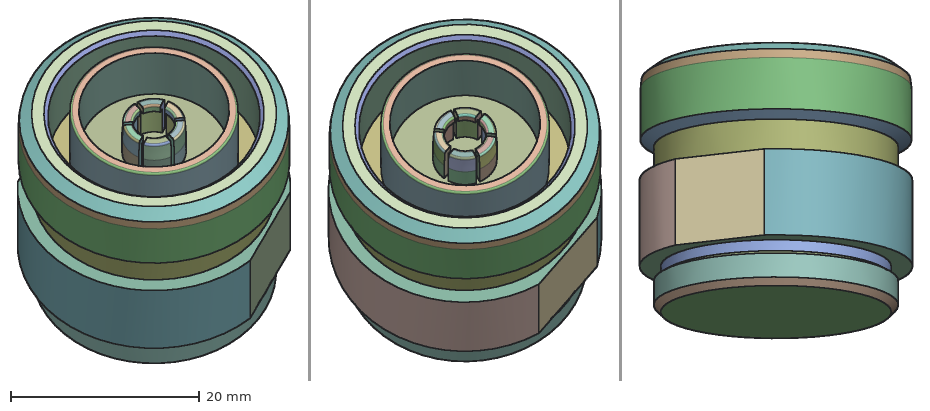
import cadquery as cq
rim_radius = 13.0
groove_radius = 12.25
body_radius = 14.5
head_radius = 14.4
head_shoulder_radius = 14.3
head_top_radius = 13.0

rim_chamfer_top = 0.75
rim_top = 3.35
groove_bottom = 3.8
body_bottom = 5.0
body_top = 14.38
neck_top = 17.98
head_bottom = 18.75
head_straight_top = 24.4
head_shoulder = 25.35
head_top = 26.33

flat_distance = 13.5

pocket_radius = 11.25
pocket_mouth_radius = 11.7
pocket_chamfer_depth = 0.44
pocket_floor = 18.68

sleeve_radius = 8.93
sleeve_bore_radius = 7.98
sleeve_top = 26.95
sleeve_floor = 20.27
edge_round = 0.23

contact_base_radius = 3.42
contact_tip_radius = 3.3
contact_taper_height = 2.32
contact_bore_radius = 2.67
contact_lip_radius = 2.23
contact_lip_height = 1.0
contact_top = 25.08

cross_slot_angle = 90
cross_slot_width = 0.5
side_slot_angles = (30, 150)
side_slot_width = 0.38


def cylinder(radius, bottom, top):
    return cq.Workplane("XY").workplane(offset=bottom).circle(radius).extrude(top - bottom)


def make_body():
    outline = [
        (0, 0),
        (groove_radius, 0),
        (rim_radius, rim_chamfer_top),
        (rim_radius, rim_top),
        (groove_radius, groove_bottom),
        (groove_radius, body_bottom),
        (body_radius, body_bottom),
        (body_radius, body_top),
        (rim_radius, body_top),
        (rim_radius, neck_top),
        (head_radius, head_bottom),
        (head_radius, head_straight_top),
        (head_shoulder_radius, head_shoulder),
        (head_top_radius, head_top),
        (pocket_mouth_radius, head_top),
        (pocket_radius, head_top - pocket_chamfer_depth),
        (pocket_radius, pocket_floor),
        (0, pocket_floor),
    ]
    return cq.Workplane("XZ").polyline(outline).close().revolve(360, (0, 0, 0), (0, 1, 0))


def cut_flats(body):
    flat_height = body_top - body_bottom
    flat_depth = body_radius - flat_distance
    for side in (-1, 1):
        cutter = (
            cq.Workplane("XY")
            .box(flat_depth, 2 * body_radius, flat_height)
            .translate((side * (flat_distance + flat_depth / 2), 0, (body_bottom + body_top) / 2))
        )
        body = body.cut(cutter)
    return body


def make_sleeve():
    sleeve = cylinder(sleeve_radius, pocket_floor, sleeve_top).faces(">Z").edges().fillet(edge_round)
    return sleeve.cut(cylinder(sleeve_bore_radius, sleeve_floor, sleeve_top))


def make_slot(angle, width):
    """Cutter right across the contact, opening both opposite walls."""
    return (
        cq.Workplane("XY")
        .workplane(offset=sleeve_floor)
        .rect(2 * contact_base_radius, width)
        .extrude(contact_top - sleeve_floor)
        .rotate((0, 0, 0), (0, 0, 1), angle)
    )


def make_contact():
    lip_bottom = contact_top - contact_lip_height
    contact = (
        cq.Workplane("XZ")
        .moveTo(contact_lip_radius, lip_bottom)
        .lineTo(contact_bore_radius, lip_bottom)
        .lineTo(contact_bore_radius, sleeve_floor)
        .lineTo(contact_base_radius, sleeve_floor)
        .lineTo(contact_base_radius, contact_top - contact_taper_height)
        .lineTo(contact_tip_radius, contact_top)
        .lineTo(contact_lip_radius, contact_top)
        .close()
        .revolve(360, (0, 0, 0), (0, 1, 0))
        .faces(">Z")
        .edges()
        .fillet(edge_round)
    )
    contact = contact.cut(make_slot(cross_slot_angle, cross_slot_width))
    for angle in side_slot_angles:
        contact = contact.cut(make_slot(angle, side_slot_width))
    return contact


result = cut_flats(make_body()).union(make_sleeve()).union(make_contact())